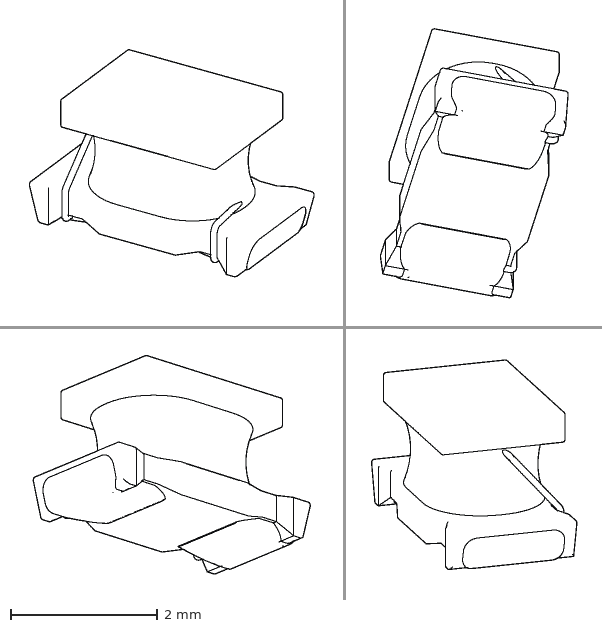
import cadquery as cq
import math

base_length = 3.5
base_width = 1.8
base_top = 0.6
base_bottom = 0.1
foot_bottom = 0.02
edge_radius = 0.045

end_taper = math.radians(15)
end_band_bottom = 0.537
foot_radius = 0.1

notch_depth = 0.1
notch_outer = 1.426
notch_floor_outer = 1.2
notch_floor_inner = 0.943
notch_inner = 0.608
groove_top = 0.2

waist_flat_x = 0.352
waist_flat_y = 0.03
waist_radius = 0.825
waist_sag = 0.095

cap_length = 2.5
cap_thickness = 0.44
total_height = 2.0
cap_bottom = total_height - cap_thickness

terminal_width = 1.475
terminal_top = 0.51
terminal_corner = 0.195
terminal_proud = foot_bottom
terminal_edge_radius = 0.045
terminal_inner = 0.65
terminal_curve_start = 1.4
terminal_curve_mid = (1.04, 0.033)

wire_diameter = 0.09
wire_x = 1.19
wire_y = -(base_width / 2 - notch_depth + wire_diameter / 2)
wire_foot_z = 0.15
wire_start_y = -terminal_width / 2 + wire_diameter
foot_bend_radius = 0.05
low_bend_radius = 0.113
low_wire_z = 0.663
low_wire_end = (1.11, -0.05)
high_bend_radius = 0.135
high_bend_z = 0.595
high_wire_end = (-1.115, -0.01, 1.545)

half_length = base_length / 2
half_width = base_width / 2


def end_x(z, offset=0.0):
    """X of the leaning end face at height z, moved outwards along its normal."""
    return half_length - (end_band_bottom - z) * math.tan(end_taper) + offset / math.cos(end_taper)


def mirrored(points):
    """Closed outline: the +X points followed by their mirror images in reverse order."""
    return points + [(-x, z) for x, z in reversed(points)]


def xz_prism(points, width):
    return cq.Workplane("XZ").polyline(points).close().extrude(width / 2, both=True)


def make_end_profile():
    """Base seen along Y: leaning ends, rounded feet and a groove under each end."""
    outline = mirrored([
        (half_length, base_top),
        (half_length, end_band_bottom),
        (end_x(foot_bottom), foot_bottom),
        (notch_outer, foot_bottom),
        (notch_floor_outer, groove_top),
        (notch_floor_inner, groove_top),
        (notch_inner, base_bottom),
    ])
    profile = xz_prism(outline, base_width)
    outer_foot_x = end_x(foot_bottom) - foot_radius / 2
    foot_edges = [e for e in profile.edges("|Y and <Z").vals() if abs(e.Center().x) > outer_foot_x]
    return profile.newObject(foot_edges).fillet(foot_radius)


def make_plan():
    """Base seen from above, with a notch near each corner."""
    floor_y = half_width - notch_depth
    quarter = [
        (half_length, half_width),
        (notch_outer, half_width),
        (notch_floor_outer, floor_y),
        (notch_floor_inner, floor_y),
        (notch_inner, half_width),
    ]
    half = mirrored(quarter)
    outline = half + [(x, -y) for x, y in reversed(half)]
    return cq.Workplane("XY").polyline(outline).close().extrude(base_top)


def make_base():
    leaning_sides = xz_prism(mirrored([
        (half_length, base_top),
        (half_length, end_band_bottom),
        (end_x(0), 0),
    ]), base_width)
    body = leaning_sides.intersect(make_plan())
    corner_edges = [
        e for e in body.edges("not(|X or |Y)").vals()
        if abs(e.Center().x) > notch_outer and e.BoundingBox().zlen > 0
    ]
    top_edges = body.edges(">Z").vals()
    body = body.newObject(corner_edges + top_edges).fillet(edge_radius)
    return body.intersect(make_end_profile())


def waist_profile(plane, flat_half):
    """Half section of the waist, from its middle out to the concave side."""
    middle_z = (base_top + cap_bottom) / 2
    return (
        cq.Workplane(plane)
        .moveTo(0, base_top)
        .lineTo(flat_half + waist_radius, base_top)
        .threePointArc(
            (flat_half + waist_radius - waist_sag, middle_z),
            (flat_half + waist_radius, cap_bottom),
        )
        .lineTo(0, cap_bottom)
        .close()
    )


def make_waist():
    """Rounded-rectangle waist: two straight slabs between four quarter turns."""
    slab_x = waist_profile("XZ", waist_flat_x).extrude(waist_flat_y, both=True)
    slab_y = waist_profile("YZ", waist_flat_y).extrude(waist_flat_x, both=True)
    waist = slab_x.union(slab_x.mirror("YZ"))
    waist = waist.union(slab_y).union(slab_y.mirror("XZ"))
    corner = waist_profile("XZ", 0).revolve(90, (0, 0, 0), (0, 1, 0))
    for turn, x, y in ((0, 1, 1), (90, -1, 1), (180, -1, -1), (270, 1, -1)):
        turned = corner.rotate((0, 0, 0), (0, 0, 1), turn)
        waist = waist.union(turned.translate((x * waist_flat_x, y * waist_flat_y, 0)))
    return waist


def make_cap():
    return (
        cq.Workplane("XY", origin=(0, 0, cap_bottom))
        .box(cap_length, base_width, cap_thickness, centered=(True, True, False))
        .edges()
        .fillet(edge_radius)
    )


def make_core():
    return make_base().union(make_waist()).union(make_cap())


def make_terminal(core):
    """Metal on the +X end: a plate on the end face that fills the groove underneath."""
    profile = (
        cq.Workplane("XZ")
        .moveTo(terminal_inner, base_bottom)
        .threePointArc(terminal_curve_mid, (terminal_curve_start, 0))
        .lineTo(end_x(0, terminal_proud), 0)
        .lineTo(end_x(terminal_top, terminal_proud), terminal_top)
        .lineTo(terminal_inner, terminal_top)
        .close()
        .extrude(terminal_width / 2, both=True)
    )
    upper_corners = profile.edges(">Z").edges("|X").vals()
    lower_corners = [
        e for e in profile.faces("<Y or >Y").edges().vals()
        if e.Center().z < base_bottom
    ]
    rounded_sides = profile.newObject(upper_corners + lower_corners).fillet(terminal_corner)
    rounded_foot = profile.edges("|Y and <Z").edges(">X").fillet(foot_radius + terminal_proud)
    block = rounded_sides.intersect(rounded_foot)
    top_edge = block.edges("|Y and >X")
    return top_edge.fillet(terminal_edge_radius).cut(core)


def make_wire(points, bend_radii):
    """Round wire through the points, bent to the given radius at each inner point."""
    points = [cq.Vector(*p) for p in points]
    edges = []
    start = points[0]
    for before, corner, after, radius in zip(points, points[1:], points[2:], bend_radii):
        back = (before - corner).normalized()
        onward = (after - corner).normalized()
        half_angle = back.getAngle(onward) / 2
        tangent_length = radius / math.tan(half_angle)
        bisector = (back + onward).normalized()
        bend_start = corner + back * tangent_length
        bend_end = corner + onward * tangent_length
        bend_middle = corner + bisector * (radius / math.sin(half_angle) - radius)
        edges.append(cq.Edge.makeLine(start, bend_start))
        edges.append(cq.Edge.makeThreePointArc(bend_start, bend_middle, bend_end))
        start = bend_end
    edges.append(cq.Edge.makeLine(start, points[-1]))
    path = cq.Wire.assembleEdges(edges)
    section = cq.Plane(origin=points[0], normal=points[1] - points[0])
    return cq.Workplane(section).circle(wire_diameter / 2).sweep(cq.Workplane(path))


def make_low_wire():
    """Wire up the +X notch, then level over the base into the waist."""
    return make_wire(
        [
            (wire_x, wire_start_y, wire_foot_z),
            (wire_x, wire_y, wire_foot_z),
            (wire_x, wire_y, low_wire_z),
            (*low_wire_end, low_wire_z),
        ],
        [foot_bend_radius, low_bend_radius],
    )


def make_high_wire():
    """Wire up the -X notch, then slanting up into the waist below the cap."""
    return make_wire(
        [
            (-wire_x, wire_start_y, wire_foot_z),
            (-wire_x, wire_y, wire_foot_z),
            (-wire_x, wire_y, high_bend_z),
            high_wire_end,
        ],
        [foot_bend_radius, high_bend_radius],
    )


core = make_core()
right_terminal = make_terminal(core)
left_terminal = right_terminal.mirror("YZ")
metal = right_terminal.union(left_terminal)
low_wire = make_low_wire().cut(core).cut(metal)
high_wire = make_high_wire().cut(core).cut(metal)

result = cq.Compound.makeCompound([
    core.solids().val(),
    right_terminal.solids().val(),
    left_terminal.solids().val(),
    low_wire.solids().val(),
    high_wire.solids().val(),
])